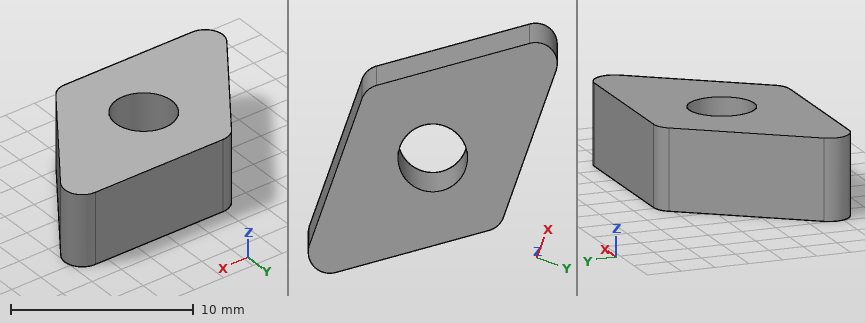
import cadquery as cq
import math

inscribed_diameter = 9.525
acute_angle = 55.0
thickness = 4.76
corner_radius = 1.19
hole_diameter = 3.81

half_width = inscribed_diameter / 2
side_length = inscribed_diameter / math.sin(math.radians(acute_angle))
side_run = inscribed_diameter / math.tan(math.radians(acute_angle))

acute_corner_x = (side_length + side_run) / 2
obtuse_corner_x = acute_corner_x - side_length


def rhombic_body():
    """Prism with two sides along X, centred on the Z axis, with rounded corners."""
    corners = [
        (acute_corner_x, half_width),
        (obtuse_corner_x, half_width),
        (-acute_corner_x, -half_width),
        (-obtuse_corner_x, -half_width),
    ]
    prism = cq.Workplane("XY").polyline(corners).close().extrude(thickness)
    return prism.edges("|Z").fillet(corner_radius)


def clamping_hole():
    """Cylinder that cuts the central through hole."""
    return cq.Workplane("XY").circle(hole_diameter / 2).extrude(thickness)


result = rhombic_body().cut(clamping_hole())